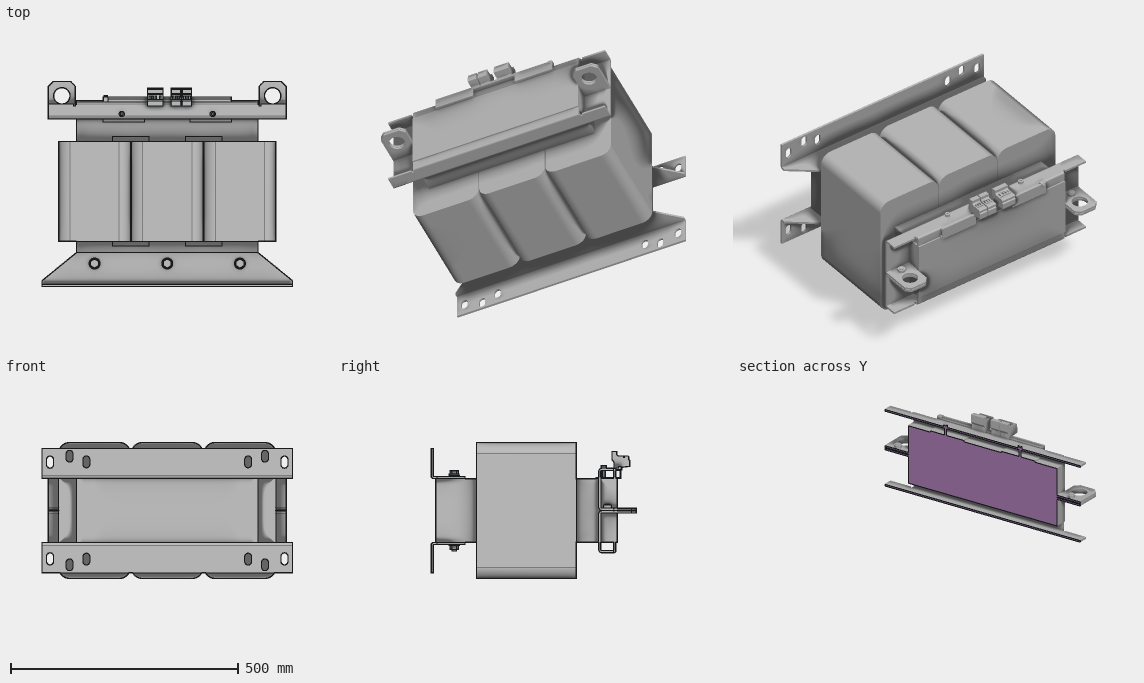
import cadquery as cq
import math


CORE_LENGTH = 400
CORE_HALF_STACK = 70
CORE_FRONT = 10
CORE_BACK = 410
LIMB_WIDTH = 80
LIMB_PITCH = 160
WINDOW_FRONT = CORE_FRONT + LIMB_WIDTH
WINDOW_BACK = CORE_BACK - LIMB_WIDTH
PACKING_RECESS = 0.5

COIL_HEIGHT = 300
COIL_WIDTH = 158
COIL_RADIUS = 25
COIL_END_GAP = 10
COIL_FRONT = WINDOW_FRONT + COIL_END_GAP
COIL_LENGTH = WINDOW_BACK - WINDOW_FRONT - 2 * COIL_END_GAP

SHEET = 5
BEND_RADIUS = 6.5
INNER_BEND_RADIUS = BEND_RADIUS - SHEET

FOOT_HALF_LENGTH = 276
FOOT_DEPTH = 75
FOOT_TOP = 137
FOOT_TAPER_START = 13
SLOT_WIDTH = 15
SLOT_LENGTH = 26
FOOT_SLOTS = [(258, 106.5), (215, 119.5), (178, 107)]

FOOT_BOLT_Y = 51
WASHER_DIAMETER = 24
WASHER_THICKNESS = 2.5
LOCK_WASHER_DIAMETER = 22
LOCK_WASHER_THICKNESS = 3
FOOT_HEX_FLATS = 17
FOOT_HEAD_HEIGHT = 7
FOOT_NUT_HEIGHT = 8
FOOT_STUD_DIAMETER = 10
FOOT_STUD_PROTRUSION = 4

CLAMP_HALF_LENGTH = 262
CLAMP_FRONT = 369
CLAMP_TOP = 93
CLAMP_LIP_BACK = 407
CLAMP_FLANGE_BACK = CLAMP_LIP_BACK - SHEET
CLAMP_SPLIT = 0.5
LIP_OUTER_RADIUS = 4.5
LIP_RELIEF = 4

EAR_BACK = 452
EAR_WIDTH = 60
EAR_INNER_X = CLAMP_HALF_LENGTH - EAR_WIDTH
EAR_CENTRE_X = CLAMP_HALF_LENGTH - EAR_WIDTH / 2
EAR_CHAMFER = 11
EAR_HOLE_DIAMETER = 35.5
EAR_HOLE_Y = 420

EAR_BOLT_Y = 388.5
EAR_NUT_DIAMETER = 17
EAR_NUT_HEIGHT = 6.5
EAR_STUD_DIAMETER = 11
EAR_STUD_PROTRUSION = 2
CLAMP_SCREW_X = 100
CLAMP_SCREW_Y = 380
CLAMP_SCREW_HEAD_DIAMETER = 11.5
CLAMP_SCREW_SOCKET_FLATS = 5
CLAMP_SCREW_SOCKET_DEPTH = 3
CLAMP_SCREW_HEAD_HEIGHT = 6
CLAMP_SCREW_DIAMETER = 7

RAIL_HALF_LENGTH = 141
BRACKET_INNER_X = 50
BRACKET_FRONT = 363
BRACKET_SHEET = 3
RAIL_BACK = 417.5
RAIL_FRONT = CLAMP_LIP_BACK
RAIL_STEP = 413
RAIL_WALL = 2
RAIL_BOTTOM = 90
RAIL_SHOULDER = 94
RAIL_TOP = 97

EARTH_WIDTH = 11
EARTH_BACK = 418
EARTH_BOTTOM = 88
EARTH_TOP = 98
EARTH_SCREW_DIAMETER = 7
EARTH_SCREW_PROTRUSION = 2.5

TERMINAL_BLOCKS = [
    (-43.5, -9, (5.5, 12, 18.5, 28)),
    (8.5, 30, (5, 11, 17)),
    (33, 53.5, (5, 10.5, 16)),
]
TERMINAL_TOP = 120
TERMINAL_PROFILE = [
    (402.5, 92), (402.5, 106), (398, 112), (398, 130), (409, 130), (409, 123),
    (412, TERMINAL_TOP), (433.5, TERMINAL_TOP), (435.5, 118), (435.5, 112), (437.5, 110), (437.5, 97),
    (421, 95), (417, RAIL_BOTTOM), (RAIL_FRONT, RAIL_BOTTOM),
]
WIRE_ENTRY_WIDTH = 3.5
WIRE_ENTRY_DEPTH = 8
WIRE_ENTRY_Y = (412, 420)
LABEL_GROOVE_Y = (423, 425.5)
LABEL_GROOVE_DEPTH = 3
TERMINAL_SIDE_WALL = 1.5


def box(x_range, y_range, z_range):
    """Box between pairs of limits along X, Y and Z."""
    size = [high - low for low, high in (x_range, y_range, z_range)]
    return cq.Workplane("XY").box(*size, centered=False).translate((x_range[0], y_range[0], z_range[0]))


def rod(x, y, z_bottom, z_top, diameter):
    """Upright cylinder."""
    return cq.Workplane("XY", origin=(x, y, z_bottom)).circle(diameter / 2).extrude(z_top - z_bottom)


def hexagon(x, y, z_bottom, z_top, flats):
    """Upright hexagonal prism, sized across its flats, with two flats facing along X."""
    corners = flats / math.cos(math.pi / 6)
    prism = cq.Workplane("XY").polygon(6, corners).extrude(z_top - z_bottom)
    return prism.rotate((0, 0, 0), (0, 0, 1), 30).translate((x, y, z_bottom))


def along_x(points, x_start, x_end):
    """Extrude a (Y, Z) outline between two X positions."""
    return cq.Workplane("YZ", origin=(x_start, 0, 0)).polyline(points).close().extrude(x_end - x_start)


def round_x_edge(body, y, z, radius):
    """Round the X-parallel edge that passes through (y, z)."""
    tolerance = 0.1
    low = (-FOOT_HALF_LENGTH, y - tolerance, z - tolerance)
    high = (FOOT_HALF_LENGTH, y + tolerance, z + tolerance)
    return body.edges(cq.selectors.BoxSelector(low, high)).fillet(radius)


def mirror_z(body):
    """Copy on the other side of the core stack."""
    return body.mirror("XY")


def make_core():
    half = CORE_LENGTH / 2
    core = box((-half, half), (CORE_FRONT, CORE_BACK), (-CORE_HALF_STACK, CORE_HALF_STACK))
    window_half = (LIMB_PITCH - LIMB_WIDTH) / 2
    for x in (-LIMB_PITCH / 2, LIMB_PITCH / 2):
        recess = box(
            (x - window_half, x + window_half),
            (WINDOW_FRONT, WINDOW_BACK),
            (CORE_HALF_STACK - PACKING_RECESS, CORE_HALF_STACK),
        )
        core = core.cut(recess).cut(mirror_z(recess))
    return core


def make_coil(x):
    coil = cq.Workplane("XZ", origin=(x, COIL_FRONT, 0)).rect(COIL_WIDTH, COIL_HEIGHT).extrude(-COIL_LENGTH)
    return coil.edges("|Y").fillet(COIL_RADIUS)


def make_foot():
    """Upper foot angle with tapered flange and slotted upright leg."""
    z_bottom = CORE_HALF_STACK
    profile = [
        (0, z_bottom), (FOOT_DEPTH, z_bottom), (FOOT_DEPTH, z_bottom + SHEET),
        (SHEET, z_bottom + SHEET), (SHEET, FOOT_TOP), (0, FOOT_TOP),
    ]
    foot = along_x(profile, -FOOT_HALF_LENGTH, FOOT_HALF_LENGTH)
    foot = round_x_edge(foot, 0, z_bottom, BEND_RADIUS)
    foot = round_x_edge(foot, SHEET, z_bottom + SHEET, INNER_BEND_RADIUS)
    half_core = CORE_LENGTH / 2
    plan = [
        (-FOOT_HALF_LENGTH, 0), (FOOT_HALF_LENGTH, 0), (FOOT_HALF_LENGTH, FOOT_TAPER_START),
        (half_core, FOOT_DEPTH), (-half_core, FOOT_DEPTH), (-FOOT_HALF_LENGTH, FOOT_TAPER_START),
    ]
    foot = foot.intersect(cq.Workplane("XY").polyline(plan).close().extrude(FOOT_TOP))
    slot_places = [(side * x, z) for x, z in FOOT_SLOTS for side in (-1, 1)]
    slots = cq.Workplane("XZ").pushPoints(slot_places).slot2D(SLOT_LENGTH, SLOT_WIDTH, 90).extrude(-SHEET)
    return foot.cut(slots)


def make_foot_bolt(x):
    """Hex bolt head on the upper foot, nut and stud end under the lower foot."""
    seat = CORE_HALF_STACK + SHEET
    washer_top = seat + WASHER_THICKNESS
    nut_end = washer_top + FOOT_NUT_HEIGHT
    washer = rod(x, FOOT_BOLT_Y, seat, washer_top, WASHER_DIAMETER)
    lock_top = washer_top + LOCK_WASHER_THICKNESS
    lock_washer = rod(x, FOOT_BOLT_Y, washer_top, lock_top, LOCK_WASHER_DIAMETER)
    head = hexagon(x, FOOT_BOLT_Y, lock_top, lock_top + FOOT_HEAD_HEIGHT, FOOT_HEX_FLATS)
    nut = hexagon(x, FOOT_BOLT_Y, washer_top, nut_end, FOOT_HEX_FLATS)
    stud = rod(x, FOOT_BOLT_Y, nut_end, nut_end + FOOT_STUD_PROTRUSION, FOOT_STUD_DIAMETER)
    return [washer, lock_washer, head, mirror_z(washer), mirror_z(nut), mirror_z(stud)]


def make_ear():
    """Lifting ear of the upper clamp channel on the +X side, continuing the lower flange."""
    z_top = CLAMP_SPLIT + SHEET
    ear = box((EAR_INNER_X, CLAMP_HALF_LENGTH), (CLAMP_FLANGE_BACK, EAR_BACK), (CLAMP_SPLIT, z_top))
    ear = ear.edges("|Z and >Y").chamfer(EAR_CHAMFER)
    return ear.cut(rod(EAR_CENTRE_X, EAR_HOLE_Y, CLAMP_SPLIT, z_top, EAR_HOLE_DIAMETER))


def make_clamp():
    """Upper clamp channel: web, two flanges, turned-down lip and two lifting ears."""
    web_back = CLAMP_FRONT + SHEET
    lower_top = CLAMP_SPLIT + SHEET
    flange_bottom = CLAMP_TOP - SHEET
    profile = [
        (CLAMP_FRONT, CLAMP_SPLIT), (CLAMP_FLANGE_BACK, CLAMP_SPLIT), (CLAMP_FLANGE_BACK, lower_top),
        (web_back, lower_top), (web_back, flange_bottom), (CLAMP_FLANGE_BACK, flange_bottom),
        (CLAMP_FLANGE_BACK, CLAMP_TOP), (CLAMP_FRONT, CLAMP_TOP),
    ]
    channel = along_x(profile, -CLAMP_HALF_LENGTH, CLAMP_HALF_LENGTH)
    for z in (CLAMP_SPLIT, CLAMP_TOP):
        channel = round_x_edge(channel, CLAMP_FRONT, z, BEND_RADIUS)
    for z in (lower_top, flange_bottom):
        channel = round_x_edge(channel, web_back, z, INNER_BEND_RADIUS)
    half_core = CORE_LENGTH / 2
    relief = box(
        (EAR_INNER_X, EAR_INNER_X + LIP_RELIEF),
        (CLAMP_FLANGE_BACK - LIP_RELIEF, CLAMP_FLANGE_BACK),
        (flange_bottom, CLAMP_TOP),
    )
    channel = channel.cut(relief).cut(relief.mirror("YZ"))
    lip = box((-half_core, half_core), (CLAMP_FLANGE_BACK, CLAMP_LIP_BACK), (CORE_HALF_STACK, CLAMP_TOP))
    lip = round_x_edge(lip, CLAMP_LIP_BACK, CLAMP_TOP, LIP_OUTER_RADIUS)
    ear = make_ear()
    return channel.union(lip).union(ear).union(ear.mirror("YZ"))


def make_ear_nut(x):
    seat = CLAMP_SPLIT + SHEET
    nut_top = seat + EAR_NUT_HEIGHT
    nut = rod(x, EAR_BOLT_Y, -seat, nut_top, EAR_NUT_DIAMETER)
    return nut.union(rod(x, EAR_BOLT_Y, nut_top, nut_top + EAR_STUD_PROTRUSION, EAR_STUD_DIAMETER))


def make_clamp_screw(x):
    head_top = CLAMP_TOP + CLAMP_SCREW_HEAD_HEIGHT
    head = rod(x, CLAMP_SCREW_Y, CLAMP_TOP, head_top, CLAMP_SCREW_HEAD_DIAMETER)
    socket_bottom = head_top - CLAMP_SCREW_SOCKET_DEPTH
    head = head.cut(hexagon(x, CLAMP_SCREW_Y, socket_bottom, head_top, CLAMP_SCREW_SOCKET_FLATS))
    return head.union(rod(x, CLAMP_SCREW_Y, CORE_HALF_STACK, CLAMP_TOP, CLAMP_SCREW_DIAMETER))


def make_bracket():
    """Rail bracket on the +X side: a strip on the core bent up to the rail."""
    x_range = (BRACKET_INNER_X, RAIL_HALF_LENGTH)
    strip_top = CORE_HALF_STACK + BRACKET_SHEET
    strip = box(x_range, (BRACKET_FRONT, RAIL_BACK), (CORE_HALF_STACK, strip_top))
    upright = box(x_range, (RAIL_BACK - RAIL_WALL, RAIL_BACK), (strip_top, RAIL_BOTTOM))
    return strip.union(upright)


def make_rail():
    profile = [
        (RAIL_FRONT, RAIL_BOTTOM), (RAIL_BACK, RAIL_BOTTOM), (RAIL_BACK, RAIL_TOP),
        (RAIL_STEP, RAIL_TOP), (RAIL_STEP, RAIL_SHOULDER), (RAIL_FRONT, RAIL_SHOULDER),
    ]
    return along_x(profile, -RAIL_HALF_LENGTH, RAIL_HALF_LENGTH)


def make_earth_terminal():
    left = -RAIL_HALF_LENGTH
    body = box((left, left + EARTH_WIDTH), (RAIL_FRONT, EARTH_BACK), (EARTH_BOTTOM, EARTH_TOP))
    centre = (left + EARTH_WIDTH / 2, EARTH_BACK, (EARTH_BOTTOM + EARTH_TOP) / 2)
    screw = cq.Workplane("XZ", origin=centre).circle(EARTH_SCREW_DIAMETER / 2)
    screw = screw.extrude(-EARTH_SCREW_PROTRUSION)
    return body.union(screw)


def make_terminal_block(left, right, entries):
    """Terminal block with a label groove and a row of wire entries sunk into its top."""
    block = along_x(TERMINAL_PROFILE, left, right)
    groove_x = (left + TERMINAL_SIDE_WALL, right - TERMINAL_SIDE_WALL)
    block = block.cut(box(groove_x, LABEL_GROOVE_Y, (TERMINAL_TOP - LABEL_GROOVE_DEPTH, TERMINAL_TOP)))
    for distance in entries:
        entry_left = left + distance - WIRE_ENTRY_WIDTH / 2
        entry_x = (entry_left, entry_left + WIRE_ENTRY_WIDTH)
        block = block.cut(box(entry_x, WIRE_ENTRY_Y, (TERMINAL_TOP - WIRE_ENTRY_DEPTH, TERMINAL_TOP)))
    return block


foot = make_foot()
clamp = make_clamp()
bracket = make_bracket()

parts = [foot, mirror_z(foot), clamp, mirror_z(clamp)]
parts += [bracket, bracket.mirror("YZ"), make_rail(), make_earth_terminal()]
for limb_x in (-LIMB_PITCH, 0, LIMB_PITCH):
    parts.append(make_coil(limb_x))
    parts += make_foot_bolt(limb_x)
for side in (-1, 1):
    parts.append(make_ear_nut(side * EAR_CENTRE_X))
    parts.append(make_clamp_screw(side * CLAMP_SCREW_X))
for left, right, entries in TERMINAL_BLOCKS:
    parts.append(make_terminal_block(left, right, entries))

result = make_core()
for part in parts:
    result = result.union(part)